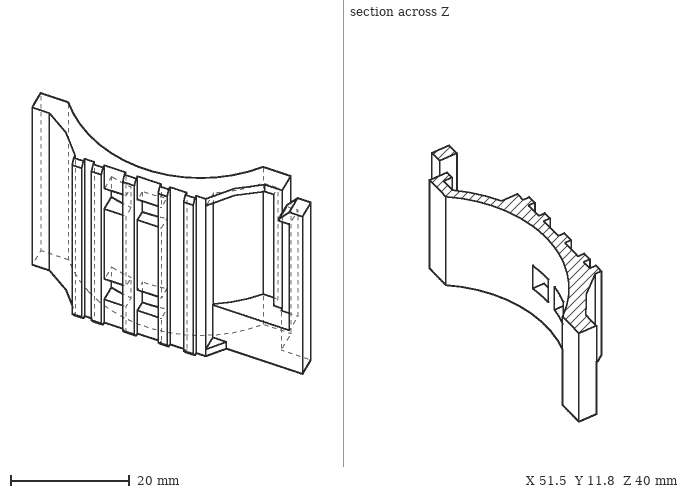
import cadquery as cq

HEIGHT = 40.0
HALF_WIDTH = 23.0
RIB_HEIGHT = 1.25
PLATE_FRONT_Y = RIB_HEIGHT
BACK_Y = 11.75
FLANGE_THICKNESS = 3.55
FLANGE_FRONT_Y = BACK_Y - FLANGE_THICKNESS
FLANGE_LENGTH = 3.2
PLATE_HALF_WIDTH = 12.0
KNEE_X = 15.5
KNEE_Y = 5.35

BOWL_RADIUS = 23.1
BOWL_DEPTH = 8.5
BOWL_AXIS_Y = BACK_Y - BOWL_DEPTH + BOWL_RADIUS

RIBS = [(-12.0, 1.75), (-8.45, 1.8), (-2.7, 2.15), (3.8, 1.65), (8.5, 1.75)]
RIB_CHAMFER_Y = 0.7
RIB_CHAMFER_Z = 1.1

WINDOW_GAPS = [(1, 2), (2, 3)]
WINDOW_HEIGHT = 5.2
WINDOW_END_MARGIN = 5.9

LIP = 1.75
POCKET_WALL = 1.9
POCKET_DEPTH = 1.65
POCKET_SIDE_X = 21.4

LATCH_OVERHANG = 5.5
LATCH_RIGHT_X = HALF_WIDTH + LATCH_OVERHANG
LATCH_BACK_Y = 7.7
LATCH_THICKNESS = 3.5
LATCH_FRONT_Y = LATCH_BACK_Y - LATCH_THICKNESS
FOOT_HEIGHT = 10.0
ARM_WIDTH = 2.45
ARM_LEFT_X = LATCH_RIGHT_X - ARM_WIDTH
HOOK_REACH = 2.0
HOOK_DEPTH = 3.05
HOOK_TIP_HEIGHT = 0.3


def block(x0, x1, y0, y1, z0, z1):
    """Box between two opposite corners."""
    return cq.Workplane("XY").box(x1 - x0, y1 - y0, z1 - z0, centered=False).translate((x0, y0, z0))


def cylinder(radius):
    """Full-height cylinder on the bowl axis."""
    return cq.Workplane("XY").center(0, BOWL_AXIS_Y).circle(radius).extrude(HEIGHT)


def make_cradle():
    right_side = [
        (PLATE_HALF_WIDTH, PLATE_FRONT_Y),
        (KNEE_X, KNEE_Y),
        (HALF_WIDTH - FLANGE_LENGTH, FLANGE_FRONT_Y),
        (HALF_WIDTH, FLANGE_FRONT_Y),
        (HALF_WIDTH, BACK_Y),
    ]
    left_side = [(-x, y) for x, y in reversed(right_side)]
    outline = cq.Workplane("XY").polyline(right_side + left_side).close().extrude(HEIGHT)
    return outline.cut(cylinder(BOWL_RADIUS))


def make_rib(left_x, width):
    """Rib with its front edge sloped off at both ends."""
    profile = [
        (PLATE_FRONT_Y, 0),
        (RIB_CHAMFER_Y, 0),
        (0, RIB_CHAMFER_Z),
        (0, HEIGHT - RIB_CHAMFER_Z),
        (RIB_CHAMFER_Y, HEIGHT),
        (PLATE_FRONT_Y, HEIGHT),
    ]
    return cq.Workplane("YZ").workplane(offset=left_x).polyline(profile).close().extrude(width)


def make_window(left_x, right_x, bottom_z):
    return block(left_x, right_x, PLATE_FRONT_Y, BACK_Y, bottom_z, bottom_z + WINDOW_HEIGHT)


def make_pocket():
    """Pocket with a floor concentric with the bowl, running flat into the flange."""
    wall_radius = BOWL_RADIUS + POCKET_WALL
    floor_y = FLANGE_FRONT_Y + POCKET_DEPTH
    space = block(PLATE_HALF_WIDTH, POCKET_SIDE_X, PLATE_FRONT_Y, floor_y, LIP, HEIGHT - LIP)
    return space.cut(cylinder(wall_radius))


def make_latch():
    foot = block(PLATE_HALF_WIDTH, LATCH_RIGHT_X, LATCH_FRONT_Y, LATCH_BACK_Y, 0, FOOT_HEIGHT)
    filler = block(PLATE_HALF_WIDTH, HALF_WIDTH, LATCH_FRONT_Y, BACK_Y, 0, FOOT_HEIGHT)
    foot = foot.union(filler).cut(cylinder(BOWL_RADIUS))
    arm_profile = [
        (LATCH_RIGHT_X, 0),
        (LATCH_RIGHT_X, HEIGHT),
        (ARM_LEFT_X, HEIGHT),
        (ARM_LEFT_X - HOOK_REACH, HEIGHT - HOOK_DEPTH + HOOK_TIP_HEIGHT),
        (ARM_LEFT_X - HOOK_REACH, HEIGHT - HOOK_DEPTH),
        (ARM_LEFT_X, HEIGHT - HOOK_DEPTH),
        (ARM_LEFT_X, 0),
    ]
    arm = cq.Workplane("XZ", origin=(0, LATCH_BACK_Y, 0)).polyline(arm_profile).close()
    return foot.union(arm.extrude(LATCH_THICKNESS))


result = make_cradle().cut(make_pocket()).union(make_latch())

for rib_left, rib_width in RIBS:
    result = result.union(make_rib(rib_left, rib_width))

for before, after in WINDOW_GAPS:
    gap_left = sum(RIBS[before])
    gap_right = RIBS[after][0]
    for window_z in (WINDOW_END_MARGIN, HEIGHT - WINDOW_END_MARGIN - WINDOW_HEIGHT):
        result = result.cut(make_window(gap_left, gap_right, window_z))